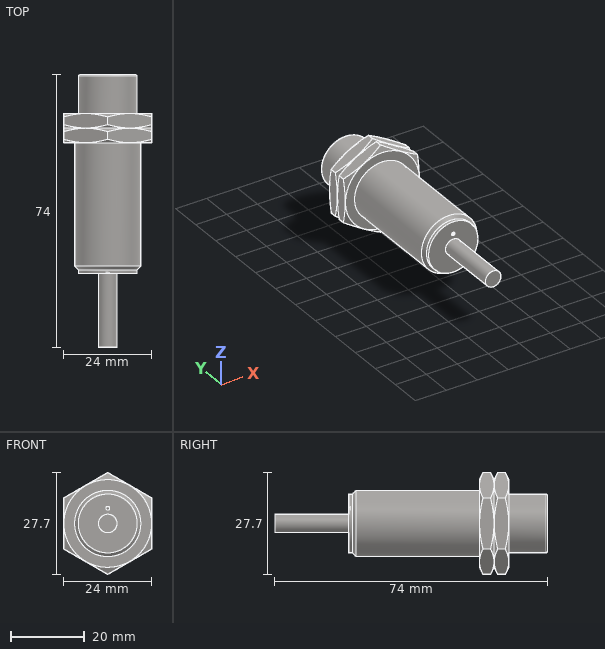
import cadquery as cq
import math

total_length = 74.0
cable_length = 20.0
cable_diameter = 5.0

body_diameter = 18.0
neck_diameter = 16.0
body_chamfer = (body_diameter - neck_diameter) / 2
end_ring_length = 1.0
tip_fillet_radius = 0.5

nut_across_flats = 24.0
nut_thickness = 4.0
nut_count = 2
nut_setback = 10.5
nut_face_diameter = 23.8
nut_corner_drop = 0.95

lamp_diameter = 1.0
lamp_dome_height = 0.4
lamp_setback = 0.15
lamp_height = 4.15
lamp_sphere_radius = ((lamp_diameter / 2) ** 2 + lamp_dome_height**2) / (2 * lamp_dome_height)

back_face = cable_length
body_start = back_face + end_ring_length
nut_front = total_length - nut_setback
nut_back = nut_front - nut_count * nut_thickness


def make_barrel():
    """Cable, body and sensing tip as one revolved profile."""
    cable_radius = cable_diameter / 2
    body_radius = body_diameter / 2
    neck_radius = neck_diameter / 2
    profile = [
        (0, 0),
        (cable_radius, 0),
        (cable_radius, back_face),
        (neck_radius, back_face),
        (neck_radius, body_start),
        (body_radius, body_start + body_chamfer),
        (body_radius, nut_back),
        (neck_radius, nut_back),
        (neck_radius, total_length),
        (0, total_length),
    ]
    barrel = cq.Workplane("XY").polyline(profile).close().revolve(360, (0, 0, 0), (0, 1, 0))
    return barrel.faces(">Y").edges().fillet(tip_fillet_radius)


def make_nut(start):
    """Solid hexagon nut from Y = start, beveled on both faces, corners pointing along Z."""
    across_corners = nut_across_flats / math.cos(math.radians(30))
    corner_radius = across_corners / 2
    face_radius = nut_face_diameter / 2
    end = start + nut_thickness
    hexagon = (
        cq.Workplane("XZ", origin=(0, start, 0))
        .transformed(rotate=(0, 0, 90))
        .polygon(6, across_corners)
        .extrude(-nut_thickness)
    )
    bevel_profile = [
        (0, start),
        (face_radius, start),
        (corner_radius, start + nut_corner_drop),
        (corner_radius, end - nut_corner_drop),
        (face_radius, end),
        (0, end),
    ]
    envelope = cq.Workplane("XY").polyline(bevel_profile).close().revolve(360, (0, 0, 0), (0, 1, 0))
    return hexagon.intersect(envelope)


def make_lamp_recess():
    """Cutter for a round recess whose floor is a dome just short of the end face."""
    rim_radius = lamp_diameter / 2
    dome_apex = back_face + lamp_setback
    recess_floor = dome_apex + lamp_dome_height
    profile = (
        cq.Workplane("XY")
        .moveTo(0, back_face)
        .lineTo(rim_radius, back_face)
        .lineTo(rim_radius, recess_floor)
        .radiusArc((0, dome_apex), lamp_sphere_radius)
        .close()
    )
    recess = profile.revolve(360, (0, 0, 0), (0, 1, 0))
    return recess.translate((0, 0, lamp_height))


result = make_barrel()
for index in range(nut_count):
    result = result.union(make_nut(nut_back + index * nut_thickness))
result = result.cut(make_lamp_recess())